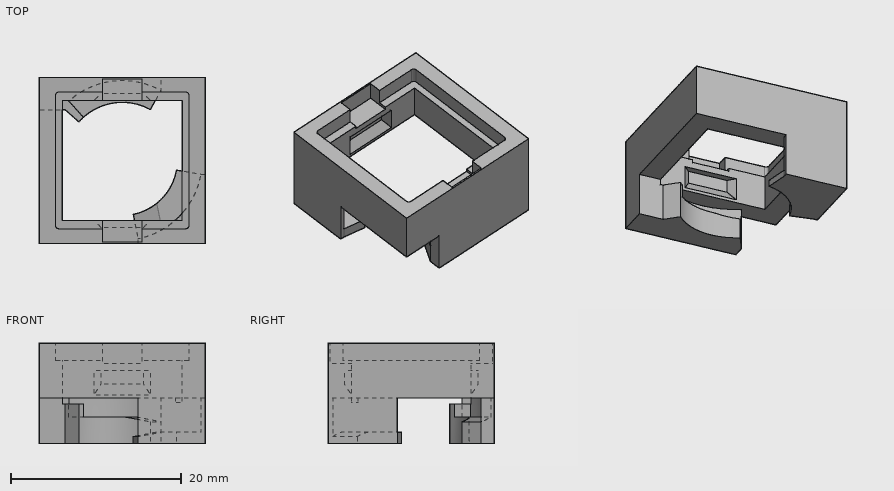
import cadquery as cq
import math

side = 19.5
height = 11.78
half = side / 2
opening = 14.04
ledge_x = 15.68
ledge_y = 16.03
ledge_depth = 2.03
ledge_radius = 0.39

notch_width = 4.68
notch_depth = 2.38
notch_skin = 0.2
window_width = 6.63
window_top = 8.58
window_sill = 5.73
window_sill_rise = 1.25
window_depth = 0.82

leg_height = 5.35
bore_radius = 9.38
opening_floor = 4.82

flange_radius = 6.45
flange_height = 1.36
flange_start = -78.5
flange_end = -10.0
flange_ramp_length = 2.96
flange_ramp_drop = 0.55

shelf_radius = 6.8
shelf_height = 3.1
post_height = 4.66
shelf_start = 61.0
post_start = 132.0
post_end = 138.5
shelf_ramp_length = 2.96
shelf_ramp_drop = 0.55
rear_leg_y = 5.93
rear_leg_x = -6.69


def polar(radius, angle):
    a = math.radians(angle)
    return (radius * math.cos(a), radius * math.sin(a))


def box(x0, x1, y0, y1, z0, z1):
    return cq.Workplane("XY").box(x1 - x0, y1 - y0, z1 - z0, centered=False).translate((x0, y0, z0))


def ring_sector(inner, outer, start, end, z_top):
    middle = (start + end) / 2
    return (
        cq.Workplane("XY")
        .moveTo(*polar(inner, start))
        .threePointArc(polar(inner, middle), polar(inner, end))
        .lineTo(*polar(outer, end))
        .threePointArc(polar(outer, middle), polar(outer, start))
        .close()
        .extrude(z_top)
    )


def ramp_cutter(inner, start, z_top, length, drop):
    """Wedge above a ramp that falls to the radial end face at the start angle."""
    wedge = (
        cq.Workplane("XZ")
        .polyline([(0, z_top - drop), (length, z_top), (0, z_top)])
        .close()
        .extrude(half, both=True)
    )
    return wedge.rotate((0, 0, 0), (0, 0, 1), start + 90).translate((*polar(inner, start), 0))


def make_frame():
    frame = box(-half, half, -half, half, leg_height, height)
    frame = frame.cut(cq.Workplane("XY").rect(opening, opening).extrude(height))
    ledge = (
        cq.Workplane("XY", origin=(0, 0, height - ledge_depth))
        .rect(ledge_x, ledge_y)
        .extrude(ledge_depth)
        .edges("|Z")
        .fillet(ledge_radius)
    )
    notches = (
        cq.Workplane("XY", origin=(0, 0, height - notch_depth))
        .rect(notch_width, side - 2 * notch_skin)
        .extrude(notch_depth)
    )
    return frame.cut(ledge).cut(notches)


def make_window():
    """Blind recess whose sill slopes up and whose sides close in at 45 degrees."""
    inner = opening / 2
    outer = inner + window_depth
    back_half_width = window_width / 2 - window_depth
    profile = (
        cq.Workplane("YZ")
        .polyline([
            (inner, window_sill),
            (outer, window_sill + window_sill_rise),
            (outer, window_top),
            (inner, window_top),
        ])
        .close()
        .extrude(window_width / 2, both=True)
    )
    plan = (
        cq.Workplane("XY")
        .polyline([
            (-window_width / 2, inner),
            (window_width / 2, inner),
            (back_half_width, outer),
            (-back_half_width, outer),
        ])
        .close()
        .extrude(height)
    )
    return profile.intersect(plan)


def make_front_leg():
    wall_x, _ = polar(bore_radius, flange_start)
    _, wall_y = polar(bore_radius, flange_end)
    wall = box(wall_x, half, -half, wall_y, 0, leg_height)
    wall = wall.cut(cq.Workplane("XY").circle(bore_radius).extrude(leg_height))
    corner_relief = box(0, opening / 2, -opening / 2, 0, opening_floor, leg_height)
    flange = ring_sector(flange_radius, bore_radius, flange_start, flange_end, flange_height)
    ramp = ramp_cutter(flange_radius, flange_start, flange_height, flange_ramp_length, flange_ramp_drop)
    return wall.cut(corner_relief).union(flange.cut(ramp))


def make_rear_leg():
    wall_x, _ = polar(bore_radius, shelf_start)
    wall = box(-half, wall_x, rear_leg_y, half, 0, leg_height)
    bore = cq.Workplane("XY").circle(bore_radius).extrude(leg_height)
    bore = bore.intersect(box(-opening / 2, half, -half, half, 0, leg_height))
    wall = wall.cut(bore)
    shelf = ring_sector(shelf_radius, bore_radius, shelf_start, post_start, shelf_height)
    ramp = ramp_cutter(shelf_radius, shelf_start, shelf_height, shelf_ramp_length, shelf_ramp_drop)
    post = (
        cq.Workplane("XY")
        .moveTo(*polar(shelf_radius, post_start))
        .threePointArc(polar(shelf_radius, (post_start + post_end) / 2), polar(shelf_radius, post_end))
        .lineTo(rear_leg_x, rear_leg_y)
        .lineTo(-half, rear_leg_y)
        .lineTo(-half, half)
        .lineTo(*polar(bore_radius, post_start))
        .close()
        .extrude(post_height)
    )
    corner_relief = box(-opening / 2, 0, 0, opening / 2, post_height, leg_height)
    return wall.union(shelf.cut(ramp)).union(post).cut(corner_relief)


window = make_window()
result = make_frame().cut(window).cut(window.mirror("XZ"))
result = result.union(make_front_leg()).union(make_rear_leg())